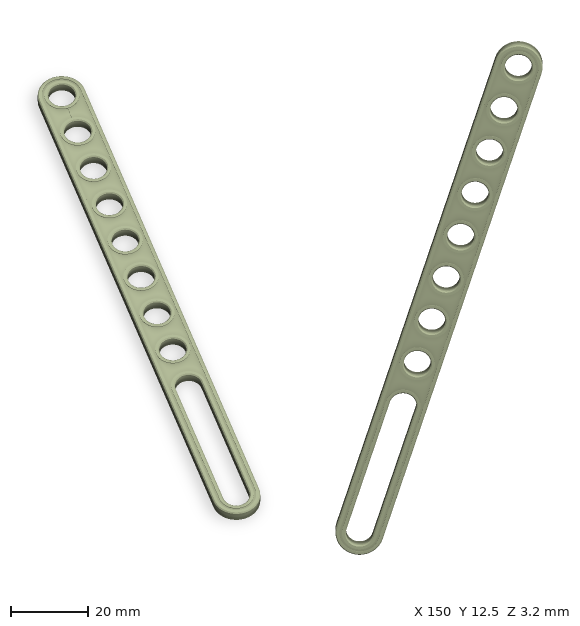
import cadquery as cq

LENGTH = 150.0
PITCHES_LONG = 12
PITCH = LENGTH / PITCHES_LONG
WIDTH = PITCH
THICKNESS = 3.2

HOLE_DIAMETER = 7.0
HOLE_COUNT = 8
SLOT_TRAVEL = 3 * PITCH
FIRST_HOLE_X = (WIDTH - LENGTH) / 2
HOLE_POSITIONS = [(FIRST_HOLE_X + i * PITCH, 0) for i in range(HOLE_COUNT)]
SLOT_CENTER_X = FIRST_HOLE_X + HOLE_COUNT * PITCH + SLOT_TRAVEL / 2

EDGE_CHAMFER = 0.3

LIP_HEIGHT = 0.22
EDGE_LIP_WIDTH = 1.0
COLLAR_DIAMETER = 9.2
UPPER_FLOOR_Z = THICKNESS - LIP_HEIGHT

GROOVE_WIDTH = 0.2
GROOVE_DEPTH = 0.2


def bar(inset, bottom, height):
    """Round-ended bar, its outline moved inward by inset."""
    base = cq.Workplane("XY").workplane(offset=bottom)
    return base.slot2D(LENGTH - 2 * inset, WIDTH - 2 * inset).extrude(height)


def openings(diameter, bottom, height):
    """Cylinders at the holes and a round-ended block at the slot."""
    base = cq.Workplane("XY").workplane(offset=bottom)
    holes = base.pushPoints(HOLE_POSITIONS).circle(diameter / 2).extrude(height)
    slot = base.center(SLOT_CENTER_X, 0).slot2D(SLOT_TRAVEL + diameter, diameter).extrude(height)
    return holes.union(slot)


def face_recess(bottom):
    """Shallow field between the edge lip and the collars."""
    field = bar(EDGE_LIP_WIDTH, bottom, LIP_HEIGHT)
    return field.cut(openings(COLLAR_DIAMETER, bottom, LIP_HEIGHT))


def collar_groove():
    """Thin groove below the upper recess floor, from the first collar to the second."""
    base = cq.Workplane("XY").workplane(offset=UPPER_FLOOR_Z)
    base = base.center(FIRST_HOLE_X + PITCH / 2, 0)
    return base.rect(PITCH - COLLAR_DIAMETER, GROOVE_WIDTH).extrude(-GROOVE_DEPTH)


result = bar(0, 0, THICKNESS).cut(openings(HOLE_DIAMETER, 0, THICKNESS))
result = result.faces("|Z").edges().chamfer(EDGE_CHAMFER)

for recess_bottom in (0, UPPER_FLOOR_Z):
    result = result.cut(face_recess(recess_bottom))

result = result.cut(collar_groove())